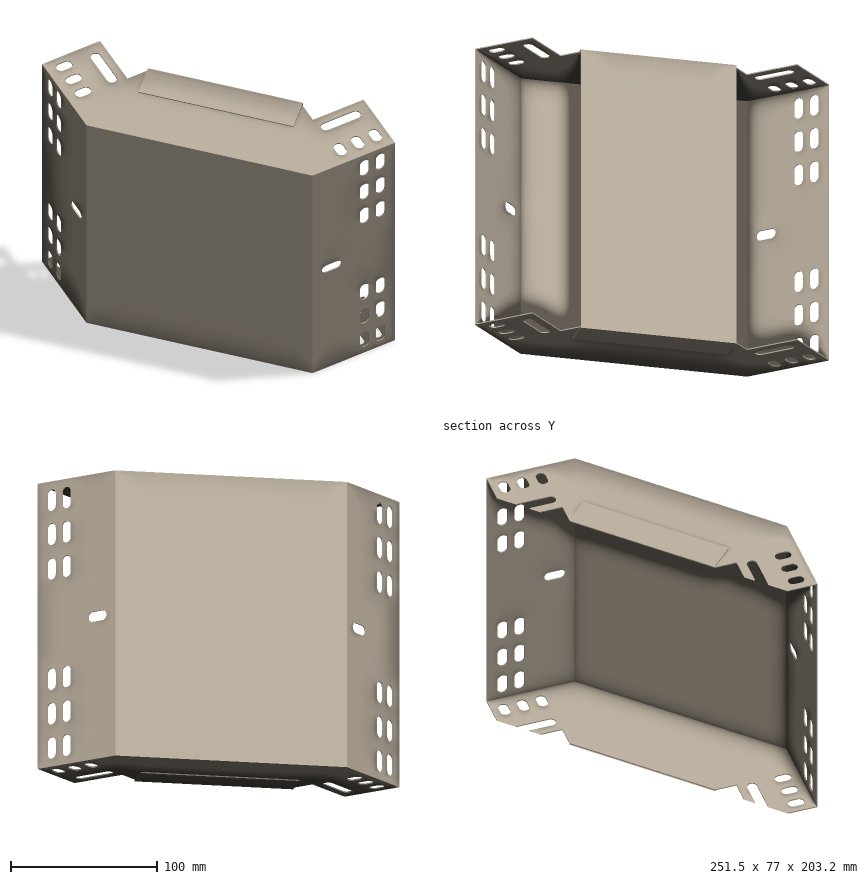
import cadquery as cq
import math

SHEET = 0.8
LENGTH = 251.5
FRONT_WIDTH = 161.2
ARM_ANGLE = 45.0
OVERALL_HEIGHT = 203.2
ARM_DEPTH = 45.0
NOTCH_X = 66.1
TRAY_BACK_Y = 60.0
COVER_LENGTH = 110.5
COVER_FRONT_Y = 39.0
COVER_BACK_Y = 61.5

SLOT_WIDTH = 7.0
WALL_SLOT_LENGTH = 15.0
WALL_SLOT_TIP_DISTANCES = (11.3, 23.6)
WALL_SLOT_HEIGHTS = (39.0, 63.4, 87.5)
LEVEL_SLOT_TIP_DISTANCE = 49.0
SMALL_SLOT_LENGTH = 11.5
SMALL_SLOT_TIP_DISTANCES = (8.5, 22.1, 35.7)
SMALL_SLOT_DEPTH = 12.5
LONG_SLOT_LENGTH = 30.0
LONG_SLOT_TIP_DISTANCE = 23.0
LONG_SLOT_DEPTH = 35.5

TRAY_HEIGHT = OVERALL_HEIGHT - 2 * SHEET
ARM_SLOPE = math.radians(ARM_ANGLE)
BEND_X = FRONT_WIDTH / 2
TIP_X = LENGTH / 2
TIP_Y = (TIP_X - BEND_X) * math.tan(ARM_SLOPE)
ARM_END_X = TIP_X - ARM_DEPTH * math.sin(ARM_SLOPE)
ARM_END_Y = TIP_Y + ARM_DEPTH * math.cos(ARM_SLOPE)
NOTCH_Y = ARM_END_Y - (ARM_END_X - NOTCH_X) * math.tan(ARM_SLOPE)
BACK_X = NOTCH_X - (TRAY_BACK_Y - NOTCH_Y) / math.tan(ARM_SLOPE)
INNER_BEND_X = BEND_X - SHEET * math.tan(ARM_SLOPE / 2)
HOLLOW_X = LENGTH
HOLLOW_Y = SHEET + (HOLLOW_X - INNER_BEND_X) * math.tan(ARM_SLOPE)


def mirrored_prism(right_half, height):
    """Prism centred on Z=0, from the right half of its outline listed front to back."""
    left_half = [(-x, y) for x, y in reversed(right_half)]
    outline = cq.Workplane("XY").polyline(right_half + left_half).close()
    return outline.extrude(height / 2, both=True)


def arm_workplane(side, normal):
    """Workplane at the middle of an arm tip, with local x running along the wall to the bend."""
    along_wall = (-side * math.cos(ARM_SLOPE), -math.sin(ARM_SLOPE), 0)
    return cq.Workplane(cq.Plane(origin=(side * TIP_X, TIP_Y, 0), xDir=along_wall, normal=normal))


def make_tray_shell():
    """Bent tray with a front wall, two angled arm walls and a flange at the top and bottom."""
    outline = [
        (BEND_X, 0),
        (TIP_X, TIP_Y),
        (ARM_END_X, ARM_END_Y),
        (NOTCH_X, NOTCH_Y),
        (BACK_X, TRAY_BACK_Y),
    ]
    hollow = [(INNER_BEND_X, SHEET), (HOLLOW_X, HOLLOW_Y)]
    shell = mirrored_prism(outline, TRAY_HEIGHT)
    return shell.cut(mirrored_prism(hollow, TRAY_HEIGHT - 2 * SHEET))


def cut_wall_slots(tray, side):
    """Upright slots in two columns and one level slot near the bend, through one arm wall."""
    outward = (side * math.sin(ARM_SLOPE), -math.cos(ARM_SLOPE), 0)
    wall = arm_workplane(side, outward)
    spots = [
        (distance, sign * height)
        for distance in WALL_SLOT_TIP_DISTANCES
        for height in WALL_SLOT_HEIGHTS
        for sign in (-1, 1)
    ]
    upright = wall.pushPoints(spots).slot2D(WALL_SLOT_LENGTH, SLOT_WIDTH, 90).extrude(2 * SHEET, both=True)
    level_place = wall.center(LEVEL_SLOT_TIP_DISTANCE, 0)
    level = level_place.slot2D(WALL_SLOT_LENGTH, SLOT_WIDTH).extrude(2 * SHEET, both=True)
    return tray.cut(upright).cut(level)


def cut_flange_slots(tray, side):
    """Three small slots and one long slot, through both flanges of one arm."""
    flange = arm_workplane(side, (0, 0, -side))
    spots = [(distance, SMALL_SLOT_DEPTH) for distance in SMALL_SLOT_TIP_DISTANCES]
    small = flange.pushPoints(spots).slot2D(SMALL_SLOT_LENGTH, SLOT_WIDTH, 90).extrude(TRAY_HEIGHT, both=True)
    long_place = flange.center(LONG_SLOT_TIP_DISTANCE, LONG_SLOT_DEPTH)
    long = long_place.slot2D(LONG_SLOT_LENGTH, SLOT_WIDTH).extrude(TRAY_HEIGHT, both=True)
    return tray.cut(small).cut(long)


def make_tray():
    tray = make_tray_shell()
    for side in (-1, 1):
        tray = cut_wall_slots(tray, side)
        tray = cut_flange_slots(tray, side)
    return tray


def make_cover():
    """Channel behind the tray, with flanges that lap over the tray flanges."""
    depth = COVER_BACK_Y - COVER_FRONT_Y
    channel = cq.Workplane("XY").box(COVER_LENGTH, depth, OVERALL_HEIGHT)
    hollow = cq.Workplane("XY").box(COVER_LENGTH, depth, TRAY_HEIGHT).translate((0, -SHEET, 0))
    return channel.cut(hollow).translate((0, COVER_FRONT_Y + depth / 2, 0))


tray = make_tray()
cover = make_cover()

result = cq.Compound.makeCompound([tray.solids().val(), cover.solids().val()])